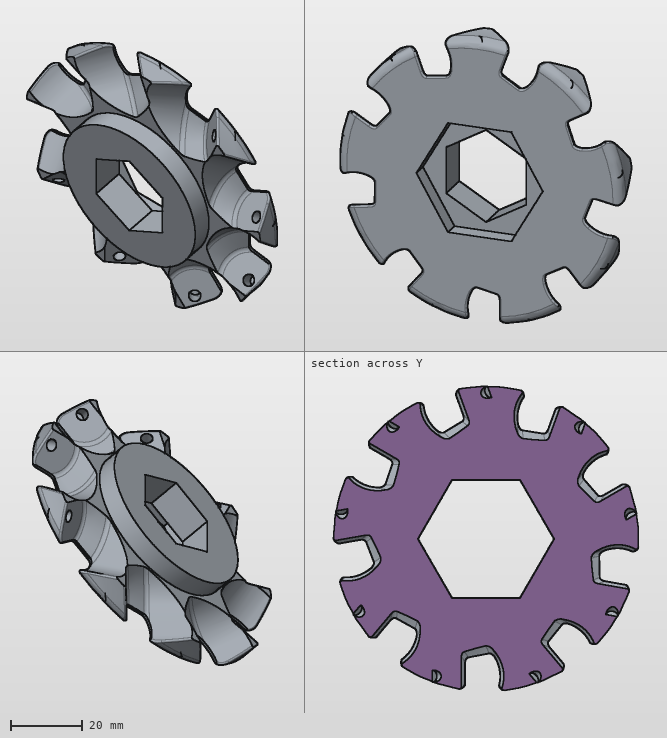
import cadquery as cq
import math

disc_radius = 43.0
disc_thickness = 9.0
rear_round = 2.8
hub_radius = 24.0
hub_length = 6.0

bore_across_flats = 24.1
recess_across_flats = 33.0
recess_depth = 5.0
recess_turn = 30.0

tooth_count = 9
tooth_pitch = 360 / tooth_count
first_seat_turn = 20.0
tooth_edge_round = 0.5
rear_land = 1.0

seat_lean = 45.0
seat_x = 10.9
seat_y = 2.9
seat_z = 38.5
pocket_floor_radius = 8.8
pocket_wall_radius = 14.1
pocket_flare_height = pocket_wall_radius - pocket_floor_radius
pocket_height = 51.6
pocket_corner_round = 2.0

hole_radius = 1.68
hole_depth = 5.8

lean = math.radians(seat_lean)
seat_plane = cq.Plane(
    origin=(seat_x, seat_y, seat_z),
    xDir=(0, 0, 1),
    normal=(-math.sin(lean), -math.cos(lean), 0),
)


def make_disc():
    disc = cq.Workplane("XZ").circle(disc_radius).extrude(-disc_thickness)
    return disc.faces(">Y").edges().fillet(rear_round)


def make_pocket():
    """Revolved pocket: flat seat, 45 degree flare and cylindrical wall with rounded corners."""
    axis_start = cq.Vector(0, 0, 0)
    axis_end = cq.Vector(0, 0, pocket_height)
    seat_rim = cq.Vector(0, pocket_floor_radius, 0)
    wall_foot = cq.Vector(0, pocket_wall_radius, pocket_flare_height)
    wall_top = cq.Vector(0, pocket_wall_radius, pocket_height)
    half_section = cq.Wire.makePolygon([axis_start, seat_rim, wall_foot, wall_top, axis_end], close=True)
    corners = [
        vertex
        for vertex in half_section.Vertices()
        if vertex.toTuple() in (seat_rim.toTuple(), wall_foot.toTuple())
    ]
    half_section = half_section.fillet2D(pocket_corner_round, corners)
    pocket = cq.Solid.revolve(half_section, [], 360, axis_start, axis_end)
    return pocket.moved(cq.Location(seat_plane))


def make_gullet():
    """Pocket whose outline at the foot of the rear land continues straight through the rear face."""
    pocket = make_pocket()
    land_foot = cq.Face.makePlane(
        4 * disc_radius,
        4 * disc_radius,
        cq.Vector(0, disc_thickness - rear_land, 0),
        cq.Vector(0, 1, 0),
    )
    outline = pocket.intersect(land_foot).Faces()[0]
    rear_opening = cq.Solid.extrudeLinear(outline, cq.Vector(0, disc_thickness, 0))
    return cq.Workplane(pocket.fuse(rear_opening))


def make_screw_hole():
    return cq.Workplane(seat_plane).circle(hole_radius).extrude(-hole_depth)


def turned_to_tooth(body, index):
    turn = first_seat_turn + index * tooth_pitch
    return body.rotate((0, 0, 0), (0, 1, 0), -turn)


def cut_at_teeth(body, cutter):
    for index in range(tooth_count):
        body = body.cut(turned_to_tooth(cutter, index))
    return body


def is_tooth_edge(edge):
    """True where a gullet breaks through the rim or the rear round, False on rings around the axis."""
    middle = edge.positionAt(0.5)
    box = edge.BoundingBox()
    near_rim = math.hypot(middle.x, middle.z) > disc_radius - 0.8 * rear_round
    crosses_rim = box.ylen > 0.4
    return near_rim and crosses_rim


def round_tooth_edges(body):
    tooth_edges = [edge for edge in body.edges().vals() if is_tooth_edge(edge)]
    return body.newObject(tooth_edges).fillet(tooth_edge_round)


def hexagon(across_flats, y_start, length):
    """Hexagonal prism along +Y with two corners facing up and down."""
    plane = cq.Workplane("XZ", origin=(0, y_start, 0))
    prism = plane.polygon(6, across_flats, circumscribed=True).extrude(-length)
    return prism


def make_bore():
    passage = hexagon(bore_across_flats, -hub_length, hub_length + disc_thickness)
    recess = hexagon(recess_across_flats, disc_thickness - recess_depth, recess_depth)
    return passage.union(recess.rotate((0, 0, 0), (0, 1, 0), recess_turn))


hub = cq.Workplane("XZ").circle(hub_radius).extrude(hub_length)
toothed_disc = round_tooth_edges(cut_at_teeth(make_disc(), make_gullet()))
toothed_disc = cut_at_teeth(toothed_disc, make_screw_hole())
result = toothed_disc.union(hub).cut(make_bore())